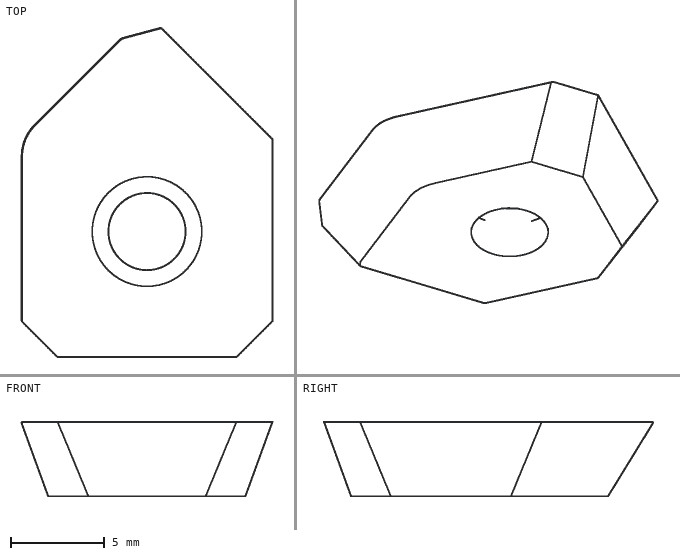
import cadquery as cq
import math

thickness = 3.97
half_width = 13.38 / 2
tip_reach = 17.54 - half_width

tip_right_distance = 8.206
tip_left_distance = 8.25
heel_distance = 8.10
wiper_direction = 105.0

side_relief = 20.0
corner_relief = 28.8

nose_radius = 2.5
wiper_radius = 0.5
land_width = 0.07

seat_radius = 5.84 / 2
throat_radius = 4.10 / 2
throat_depth = 2.76
seat_curve_radius = 2.1
seat_blend_radius = 0.25


def land_inset(relief):
    """How far the lower edge of the land lies inside the sharp top edge it replaces."""
    return land_width * math.sin(math.radians(relief))


def wiper_distance():
    """Distance of the wiper's land edge that puts the tip of the insert at tip_reach."""
    right_reach = tip_right_distance - land_inset(corner_relief)
    tip_x = right_reach * math.sqrt(2) - tip_reach
    angle = math.radians(wiper_direction)
    return tip_x * math.cos(angle) + tip_reach * math.sin(angle)


flanks = [
    (0.0, half_width, side_relief),
    (45.0, tip_right_distance, corner_relief),
    (wiper_direction, wiper_distance() + land_inset(corner_relief), corner_relief),
    (135.0, tip_left_distance + land_inset(corner_relief), corner_relief),
    (180.0, half_width + land_inset(side_relief), side_relief),
    (225.0, heel_distance, corner_relief),
    (270.0, half_width, side_relief),
    (315.0, heel_distance, corner_relief),
]
tip_right, wiper, tip_left, left_side = 1, 2, 3, 4


def flank_corner(index, depth):
    """Point where flank `index` meets the next one, at a depth below the top face."""
    angle_a, distance_a, relief_a = flanks[index]
    angle_b, distance_b, relief_b = flanks[index + 1]
    reach_a = distance_a - depth * math.tan(math.radians(relief_a))
    reach_b = distance_b - depth * math.tan(math.radians(relief_b))
    a = math.radians(angle_a)
    b = math.radians(angle_b)
    turn = math.sin(b - a)
    x = (reach_a * math.sin(b) - reach_b * math.sin(a)) / turn
    y = (reach_b * math.cos(a) - reach_a * math.cos(b)) / turn
    return x, y


def corner_edge(index):
    """Selector for the sharp edge between flank `index` and the next one."""
    half_depth = thickness / 2
    x, y = flank_corner(index, half_depth)
    return cq.selectors.NearestToPointSelector((x, y, thickness - half_depth))


def outside_flank(direction, distance, relief):
    """Everything beyond one leaning flank, to be cut from the blank."""
    far = 2 * tip_reach
    foot = distance - thickness * math.tan(math.radians(relief))
    return (
        cq.Workplane("XZ")
        .polyline([(foot, 0), (distance, thickness), (far, thickness), (far, 0)])
        .close()
        .extrude(far, both=True)
        .rotate((0, 0, 0), (0, 0, 1), direction)
    )


def make_body():
    """Leaning-sided block with the rounded nose and the blended wiper corner."""
    blank_size = 2.5 * tip_reach
    body = cq.Workplane("XY").box(blank_size, blank_size, thickness, centered=(True, True, False))
    for flank in flanks:
        body = body.cut(outside_flank(*flank))
    body = body.edges(corner_edge(tip_left)).fillet(nose_radius)
    return body.edges(corner_edge(wiper)).fillet(wiper_radius)


def add_land(body):
    """Narrow bevel along the top of the wiper, left tip edge, nose and left side."""
    tip_x, tip_y = flank_corner(tip_right, 0)
    heel_x, heel_y = flank_corner(left_side, 0)

    def is_cutting_edge(edge):
        """True for top edges on the outer side of the line from the tip to the left heel."""
        middle = edge.Center()
        across = (heel_x - tip_x) * (middle.y - tip_y) - (heel_y - tip_y) * (middle.x - tip_x)
        return across < 0

    top_edges = body.faces(">Z").edges().vals()
    cutting_edges = [edge for edge in top_edges if is_cutting_edge(edge)]
    return body.newObject(cutting_edges).chamfer(land_width)


def make_hole():
    """Screw hole: straight counterbore, small blend, rounded screw seat and straight throat."""
    curve_r = throat_radius + seat_curve_radius
    curve_z = thickness - throat_depth
    blend_r = seat_radius - seat_blend_radius
    centre_distance = seat_curve_radius + seat_blend_radius
    blend_z = curve_z + math.sqrt(centre_distance**2 - (curve_r - blend_r) ** 2)
    slope = math.atan2(blend_z - curve_z, curve_r - blend_r)

    def curve_point(angle):
        r = curve_r - seat_curve_radius * math.cos(angle)
        return r, curve_z + seat_curve_radius * math.sin(angle)

    def blend_point(angle):
        r = blend_r + seat_blend_radius * math.cos(angle)
        return r, blend_z - seat_blend_radius * math.sin(angle)

    return (
        cq.Workplane("XZ")
        .lineTo(throat_radius, 0)
        .lineTo(throat_radius, curve_z)
        .threePointArc(curve_point(slope / 2), curve_point(slope))
        .threePointArc(blend_point(slope / 2), blend_point(0))
        .lineTo(seat_radius, thickness)
        .lineTo(0, thickness)
        .close()
        .revolve(360, (0, 0, 0), (0, 1, 0))
    )


result = add_land(make_body()).cut(make_hole())